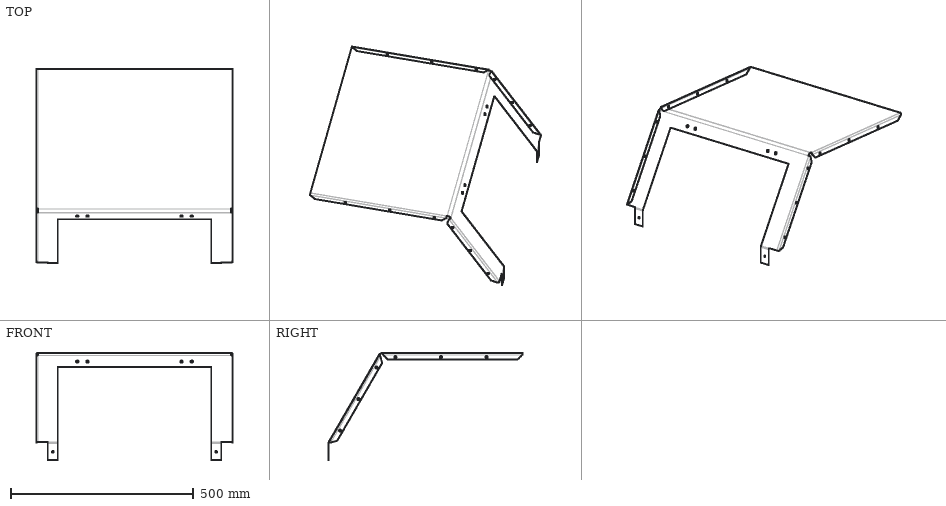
import cadquery as cq
import math

WIDTH = 540.0
DEPTH = 533.0
HEIGHT = 294.5
THICKNESS = 1.0

MAIN_RADIUS = 12.5
MAIN_ANGLE = 60.0
TAB_RADIUS = 7.0
TAB_ANGLE = 90.0 - MAIN_ANGLE
FLANGE_RADIUS = 5.0

CORNER_DEPTH = 391.0
LEG_WIDTH = 60.0
CROSSBAR_DROP = 39.0
TAB_WIDTH = 28.0

FLANGE_HEIGHT = 19.0
FLANGE_HOLE_DEPTH = 12.0
FLANGE_HOLE_DIAMETER = 5.5
PANEL_HOLE_PITCH = 125.5
PANEL_HOLE_CENTRE = 224.0
LEG_HOLE_PITCH = 100.0
LEG_HOLE_CENTRE = 140.0

CROSSBAR_HOLE_DIAMETER = 6.5
CROSSBAR_HOLE_CENTRE = 143.0
CROSSBAR_HOLE_PITCH = 28.0
CROSSBAR_HOLE_DROP = 24.0
TAB_HOLE_DIAMETER = 4.2
TAB_HOLE_DROP = 271.5

main_slope = math.radians(MAIN_ANGLE)
main_setback = MAIN_RADIUS * math.tan(main_slope / 2)
tab_setback = TAB_RADIUS * math.tan(math.radians(TAB_ANGLE) / 2)
panel_length = CORNER_DEPTH - main_setback
leg_corner_length = (DEPTH - CORNER_DEPTH) / math.cos(main_slope)
leg_length = leg_corner_length - main_setback - tab_setback
tab_length = HEIGHT - leg_corner_length * math.sin(main_slope) - tab_setback
half_sheet = WIDTH / 2 - FLANGE_RADIUS
leg_inside = WIDTH / 2 - LEG_WIDTH


def block(x_min, x_max, y_min, y_max, z_min, z_max):
    size = (x_max - x_min, y_max - y_min, z_max - z_min)
    return cq.Workplane("XY").box(*size, centered=False).translate((x_min, y_min, z_min))


def both_sides(body):
    return body.union(body.mirror("YZ"))


def bend(x_min, x_max, radius, angle):
    """Bend starting at y = 0 with its outer face at z = 0, turning down toward -Y."""
    return (
        cq.Workplane("XZ", origin=((x_min + x_max) / 2, 0, -THICKNESS / 2))
        .rect(x_max - x_min, THICKNESS)
        .revolve(angle, (0, THICKNESS / 2 - radius), (1, THICKNESS / 2 - radius))
    )


def after_bend(body, radius, angle):
    """Swing a body that starts at y = 0 round to the far end of a bend."""
    return body.rotate((0, 0, -radius), (1, 0, -radius), angle)


def side_flange(length, hole_centre, hole_pitch):
    """Folded +X edge running from y = 0 to y = -length, with mitred ends and three holes."""
    outer = WIDTH / 2
    inner_radius = FLANGE_RADIUS - THICKNESS
    fold = (
        cq.Workplane("XZ", origin=(half_sheet, 0, -FLANGE_RADIUS))
        .circle(FLANGE_RADIUS)
        .circle(inner_radius)
        .extrude(length)
        .intersect(block(half_sheet, outer, -length, 0, -FLANGE_RADIUS, 0))
    )
    mitre = FLANGE_HEIGHT - FLANGE_RADIUS
    wall = (
        cq.Workplane("YZ", origin=(outer - THICKNESS, 0, 0))
        .moveTo(0, -FLANGE_RADIUS)
        .lineTo(-length, -FLANGE_RADIUS)
        .lineTo(-length + mitre, -FLANGE_HEIGHT)
        .lineTo(-mitre, -FLANGE_HEIGHT)
        .close()
        .extrude(THICKNESS)
    )
    hole_points = [(-hole_centre + i * hole_pitch, -FLANGE_HOLE_DEPTH) for i in (-1, 0, 1)]
    holes = (
        cq.Workplane("YZ", origin=(half_sheet, 0, 0))
        .pushPoints(hole_points)
        .circle(FLANGE_HOLE_DIAMETER / 2)
        .extrude(2 * FLANGE_RADIUS)
    )
    return fold.union(wall.cut(holes))


def roof_panel():
    sheet = block(-half_sheet, half_sheet, -panel_length, 0, -THICKNESS, 0)
    flange = side_flange(panel_length, PANEL_HOLE_CENTRE, PANEL_HOLE_PITCH)
    return sheet.union(both_sides(flange)).translate((0, panel_length, 0))


def leg_frame():
    """Flat U-shaped frame with flanges and bent tabs, before the main bend is applied."""
    sheet = block(-half_sheet, half_sheet, -leg_length, 0, -THICKNESS, 0)
    bar_width = CROSSBAR_DROP / math.sin(main_slope) - main_setback
    opening = block(-leg_inside, leg_inside, -leg_length, -bar_width, -THICKNESS, 0)
    hole_y = main_setback - CROSSBAR_HOLE_DROP / math.sin(main_slope)
    half_pitch = CROSSBAR_HOLE_PITCH / 2
    hole_points = [
        (side * CROSSBAR_HOLE_CENTRE + offset, hole_y)
        for side in (-1, 1)
        for offset in (-half_pitch, half_pitch)
    ]
    holes = (
        cq.Workplane("XY", origin=(0, 0, -THICKNESS))
        .pushPoints(hole_points)
        .circle(CROSSBAR_HOLE_DIAMETER / 2)
        .extrude(THICKNESS)
    )
    flange = side_flange(leg_length, LEG_HOLE_CENTRE - main_setback, LEG_HOLE_PITCH)
    tab = mounting_tab().translate((0, -leg_length, 0))
    return sheet.cut(opening).cut(holes).union(both_sides(flange.union(tab)))


def mounting_tab():
    """Tab on the +X leg, flush with the inside edge of the leg."""
    tab_outside = leg_inside + TAB_WIDTH
    flat = block(leg_inside, tab_outside, -tab_length, 0, -THICKNESS, 0)
    hole = (
        cq.Workplane("XY")
        .center(leg_inside + TAB_WIDTH / 2, HEIGHT - TAB_HOLE_DROP - tab_length)
        .circle(TAB_HOLE_DIAMETER / 2)
        .extrude(-THICKNESS)
    )
    tab = after_bend(flat.cut(hole), TAB_RADIUS, TAB_ANGLE)
    return bend(leg_inside, tab_outside, TAB_RADIUS, TAB_ANGLE).union(tab)


main_bend = bend(-half_sheet, half_sheet, MAIN_RADIUS, MAIN_ANGLE)
frame = after_bend(leg_frame(), MAIN_RADIUS, MAIN_ANGLE)
result = roof_panel().union(main_bend).union(frame)